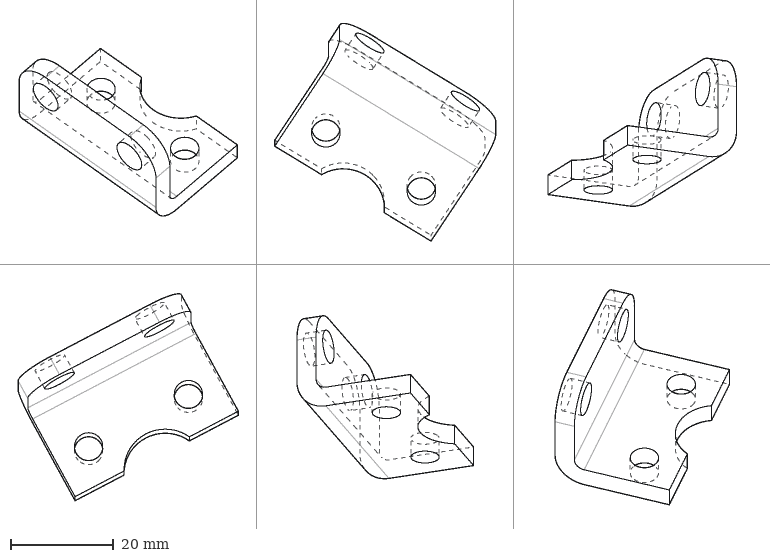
import cadquery as cq

width = 36.0
depth = 23.5
height = 22.0

thickness = 4.0
inner_bend_radius = 2.0
outer_bend_radius = inner_bend_radius + thickness
corner_radius = 7.0

hole_spacing = 22.0
hole_offset = 16.0
wall_hole_diameter = 6.5
base_hole_diameter = 5.5

notch_radius = 8.0
notch_depth = 4.5

hole_positions = [(-hole_spacing / 2, hole_offset), (hole_spacing / 2, hole_offset)]


def bent_sheet():
    """L-shaped profile in YZ, extruded along X, with a rounded bend."""
    sheet = (
        cq.Workplane("YZ")
        .moveTo(0, 0)
        .lineTo(depth, 0)
        .lineTo(depth, thickness)
        .lineTo(thickness, thickness)
        .lineTo(thickness, height)
        .lineTo(0, height)
        .close()
        .extrude(width / 2, both=True)
    )
    sheet = sheet.edges(cq.NearestToPointSelector((0, 0, 0))).fillet(outer_bend_radius)
    inner_corner = cq.NearestToPointSelector((0, thickness, thickness))
    return sheet.edges(inner_corner).fillet(inner_bend_radius)


def wall_holes():
    return (
        cq.Workplane("XZ")
        .pushPoints(hole_positions)
        .circle(wall_hole_diameter / 2)
        .extrude(-thickness)
    )


def base_holes():
    return (
        cq.Workplane("XY")
        .pushPoints(hole_positions)
        .circle(base_hole_diameter / 2)
        .extrude(thickness)
    )


def edge_notch():
    return (
        cq.Workplane("XY")
        .center(0, depth - notch_depth + notch_radius)
        .circle(notch_radius)
        .extrude(thickness)
    )


result = bent_sheet().faces(">Z").edges("|Y").fillet(corner_radius)
result = result.cut(wall_holes()).cut(base_holes()).cut(edge_notch())